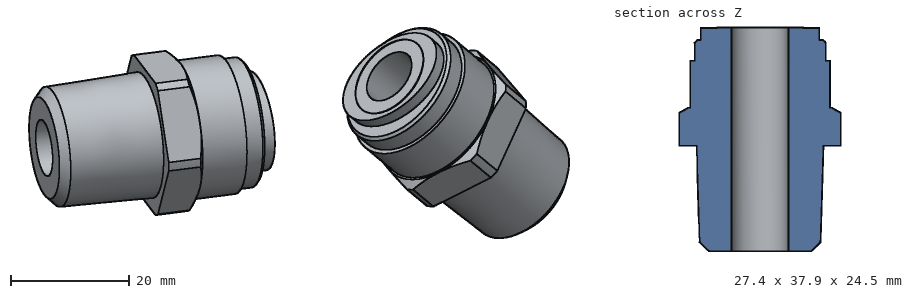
import cadquery as cq
import math

length = 37.9
tip_chamfer_length = 1.5
hex_start = 17.8
hex_end = 24.3
collar_end = 32.25
ring_end = 35.78
ring_chamfer = 0.5
button_end = 37.8

bore_radius = 4.8
tip_radius = 8.68
thread_front_radius = 10.27
thread_back_radius = 10.75
collar_radius = 11.85
ring_radius = 11.15

across_flats = 24.5
corner_diameter = 27.4
hex_chamfer_angle = 30.0

button_width = 20.1
button_height = 16.37
lip_radius = 7.28


def revolve_profile(points):
    """Revolve a closed (radius, y) outline about the Y axis."""
    return cq.Workplane("XY").polyline(points).close().revolve(360, (0, 0, 0), (0, 1, 0))


def plane_at(y):
    """Workplane across the axis at the given station, facing -Y."""
    return cq.Workplane("XZ", origin=(0, y, 0))


def make_turned_body():
    """Tapered thread, collar and ring, all coaxial."""
    return revolve_profile([
        (0, 0),
        (tip_radius, 0),
        (thread_front_radius, tip_chamfer_length),
        (thread_back_radius, hex_start),
        (collar_radius, hex_start),
        (collar_radius, collar_end),
        (ring_radius, collar_end),
        (ring_radius, ring_end - ring_chamfer),
        (ring_radius - ring_chamfer, ring_end),
        (0, ring_end),
    ])


def make_hex():
    """Hexagon with turned corners and a conical chamfer on its back face."""
    flat_radius = across_flats / 2
    corner_radius = corner_diameter / 2
    chamfer_length = (corner_radius - flat_radius) * math.tan(math.radians(hex_chamfer_angle))
    sharp_diameter = across_flats / math.cos(math.radians(30))
    prism = plane_at(hex_start).polygon(6, sharp_diameter).extrude(hex_start - hex_end)
    turned_blank = revolve_profile([
        (0, hex_start),
        (corner_radius, hex_start),
        (corner_radius, hex_end - chamfer_length),
        (flat_radius, hex_end),
        (0, hex_end),
    ])
    return prism.intersect(turned_blank)


def make_button():
    """Oval button behind the ring, with a thin round lip on its end face."""
    outline = plane_at(ring_end).ellipse(button_width / 2, button_height / 2)
    oval = outline.extrude(ring_end - button_end)
    lip = plane_at(ring_end).circle(lip_radius).extrude(ring_end - length)
    return oval.union(lip)


def make_bore():
    """Bore through the full length."""
    return plane_at(0).circle(bore_radius).extrude(-length)


result = make_turned_body().union(make_hex()).union(make_button()).cut(make_bore())